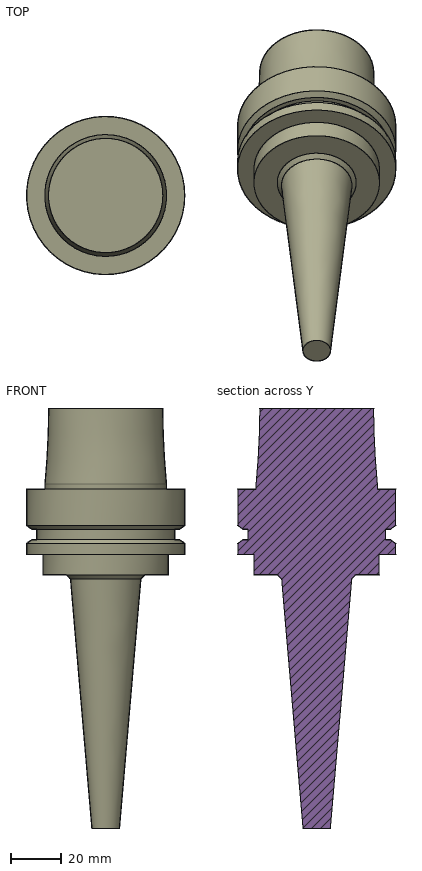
import cadquery as cq

shank_top_diameter = 45.5
shank_base_diameter = 48.5
flange_diameter = 63.0
groove_diameter = 55.0
hub_diameter = 50.0
neck_diameter = 28.0
tip_diameter = 11.0

total_length = 167.0
shank_length = 32.0
shank_collar_length = 2.0
flange_length = 26.0
upper_rim_length = 14.5
groove_chamfer_height = 1.5
groove_chamfer_depth = 2.2
groove_width = 4.0
hub_length = 8.0
neck_chamfer = 1.7

shank_flank_sag = 0.3

shank_top = shank_length
collar_top = shank_collar_length
rim_bottom = -upper_rim_length
groove_top = rim_bottom - groove_chamfer_height
groove_bottom = groove_top - groove_width
lip_top = groove_bottom - groove_chamfer_height
flange_bottom = -flange_length
hub_bottom = flange_bottom - hub_length
neck_top = hub_bottom - neck_chamfer
tip = shank_top - total_length

shank_top_radius = shank_top_diameter / 2
shank_base_radius = shank_base_diameter / 2
shank_mid_radius = (shank_top_radius + shank_base_radius) / 2 - shank_flank_sag
shank_mid_level = (shank_top + collar_top) / 2
flange_radius = flange_diameter / 2
groove_edge_radius = flange_radius - groove_chamfer_depth
groove_radius = groove_diameter / 2
hub_radius = hub_diameter / 2
neck_radius = neck_diameter / 2
tip_radius = tip_diameter / 2

profile = (
    cq.Workplane("XZ")
    .moveTo(0, shank_top)
    .lineTo(shank_top_radius, shank_top)
    .threePointArc((shank_mid_radius, shank_mid_level), (shank_base_radius, collar_top))
    .lineTo(shank_base_radius, 0)
    .lineTo(flange_radius, 0)
    .lineTo(flange_radius, rim_bottom)
    .lineTo(groove_edge_radius, groove_top)
    .lineTo(groove_radius, groove_top)
    .lineTo(groove_radius, groove_bottom)
    .lineTo(groove_edge_radius, groove_bottom)
    .lineTo(flange_radius, lip_top)
    .lineTo(flange_radius, flange_bottom)
    .lineTo(hub_radius, flange_bottom)
    .lineTo(hub_radius, hub_bottom)
    .lineTo(neck_radius + neck_chamfer, hub_bottom)
    .lineTo(neck_radius, neck_top)
    .lineTo(tip_radius, tip)
    .lineTo(0, tip)
    .close()
)

result = profile.revolve(360, (0, 0, 0), (0, 1, 0))